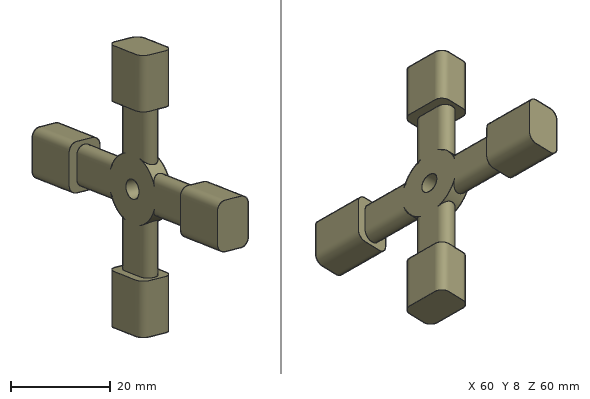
import cadquery as cq

span = 60.0
head_length = 12.0
head_width = 11.0
head_depth = 8.0
head_corner = 2.0
arm_width = 9.0
arm_thickness = 4.0
hub_diameter = 15.0
bore_diameter = 4.2


def make_bar():
    """Bar along Z with fully rounded sides and a rounded block at each end."""
    bar = (
        cq.Workplane("XY")
        .workplane(offset=-span / 2)
        .slot2D(arm_width, arm_thickness)
        .extrude(span)
    )
    head_offset = (span - head_length) / 2
    for side in (-1, 1):
        head = (
            cq.Workplane("XY")
            .box(head_width, head_depth, head_length)
            .edges("|Z")
            .fillet(head_corner)
            .translate((0, 0, side * head_offset))
        )
        bar = bar.union(head)
    return bar


def make_disc(diameter, thickness):
    """Disc centred on the origin with its axis along Y."""
    return cq.Workplane("XZ").circle(diameter / 2).extrude(thickness / 2, both=True)


upright = make_bar()
crossbar = upright.rotate((0, 0, 0), (0, 1, 0), 90)
hub = make_disc(hub_diameter, arm_thickness)
bore = make_disc(bore_diameter, head_depth)

result = upright.union(crossbar).union(hub).cut(bore)